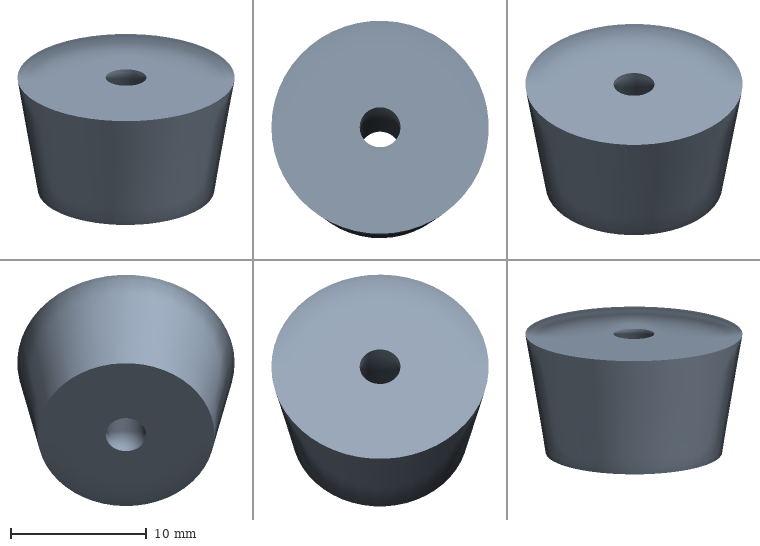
import cadquery as cq

top_diameter = 16.0
bottom_diameter = 13.0
height = 9.0
hole_diameter = 3.0


def tapered_body():
    """Solid cone frustum standing on the XY plane, its axis along Z."""
    return cq.Workplane("XY").add(
        cq.Solid.makeCone(bottom_diameter / 2, top_diameter / 2, height)
    )


def through_hole():
    """Cylinder on the same axis, as long as the body is high."""
    return cq.Workplane("XY").circle(hole_diameter / 2).extrude(height)


result = tapered_body().cut(through_hole())